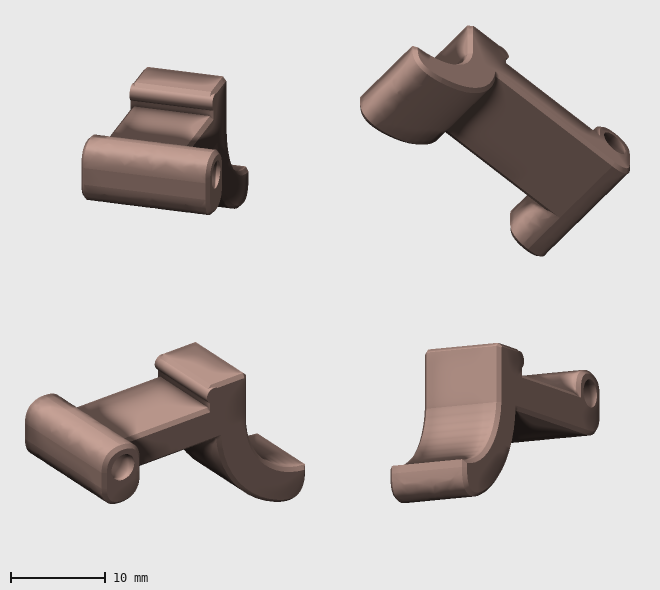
import cadquery as cq
import math

length = 30.65
body_width = 9.13
edge_chamfer = 0.4

barrel_width = 14.2
barrel_radius = 2.5
bore_diameter = 3.0
barrel_back = 2 * barrel_radius

arm_thickness = 4.0
arm_bottom = -4.4
arm_top = arm_bottom + arm_thickness
block_front = 17.83
block_back = 22.9
block_top = 2.2

bead_radius = 0.92
bead_inset = 0.5
bead_half_chord = math.sqrt(bead_radius**2 - bead_inset**2)
bead_y = block_front + bead_inset
bead_z = block_top - edge_chamfer - bead_half_chord

hook_center_y = 30.95
hook_center_z = -3.5
hook_inner_radius = 8.1
hook_outer_radius = 12.07
tip_blend_top = -12.4
tip_blend_front = 26.63

blend_fullness = 0.66


def hook_depth(radius, y):
    """Height Z of the lower half of a hook arc at a given Y."""
    return hook_center_z - math.sqrt(radius**2 - (y - hook_center_y) ** 2)


def hook_reach(radius, z):
    """Position Y of the front half of a hook arc at a given Z."""
    return hook_center_y - math.sqrt(radius**2 - (z - hook_center_z) ** 2)


def hook_diagonal(radius):
    """Point (y, z) on a hook arc, midway between straight forward and straight down."""
    offset = radius * math.sqrt(0.5)
    return (hook_center_y - offset, hook_center_z - offset)


def toward(start, corner):
    """Blend handle on the line from a blend end to the sharp corner."""
    return tuple(s + blend_fullness * (c - s) for s, c in zip(start, corner))


def blend_to(outline, start, corner, end):
    """Continue an outline from start to end with a smooth blend that rounds off the corner."""
    return outline.bezier([start, toward(start, corner), toward(end, corner), end])


def make_body():
    """Block, arm and hook as one profile in the YZ plane, with both sides chamfered."""
    tip_start = (length, tip_blend_top)
    tip_end = (tip_blend_front, hook_depth(hook_outer_radius, tip_blend_front))
    tangent_slope = (hook_center_y - tip_end[0]) / (tip_end[1] - hook_center_z)
    tip_corner = (length, tip_end[1] + tangent_slope * (length - tip_end[0]))

    outline = (
        cq.Workplane("YZ")
        .moveTo(barrel_radius, arm_top)
        .lineTo(block_front, arm_top)
        .lineTo(block_front, block_top - edge_chamfer)
        .lineTo(block_front + edge_chamfer, block_top)
        .lineTo(block_back - edge_chamfer, block_top)
        .lineTo(block_back, block_top - edge_chamfer)
        .lineTo(block_back, hook_depth(hook_inner_radius, block_back))
        .threePointArc(
            hook_diagonal(hook_inner_radius),
            (length, hook_depth(hook_inner_radius, length)),
        )
        .lineTo(*tip_start)
    )
    outline = blend_to(outline, tip_start, tip_corner, tip_end)
    body = (
        outline.threePointArc(
            hook_diagonal(hook_outer_radius),
            (hook_reach(hook_outer_radius, arm_bottom), arm_bottom),
        )
        .lineTo(barrel_radius, arm_bottom)
        .close()
        .extrude(body_width)
    )
    sides = body.faces("<X or >X")
    sharp_places = (barrel_radius, block_front)
    outline_edges = [edge for edge in sides.edges().vals() if not is_upright_at(edge, sharp_places)]
    return body.newObject(outline_edges).chamfer(edge_chamfer)


def is_upright_at(edge, places):
    """True for an edge that lies wholly at one of the given Y places."""
    tolerance = 0.003
    box = edge.BoundingBox()
    return any(max(abs(box.ymin - y), abs(box.ymax - y)) < tolerance for y in places)


def make_barrel():
    """Rounded bar across the front, flush with the arm underside and chamfered at both ends."""
    lower_round_z = arm_bottom + barrel_radius
    front_low = (0, lower_round_z)
    front_high = (0, 0)
    top = (barrel_radius, barrel_radius)
    back_high = (barrel_back, 0)
    back_low = (barrel_back, lower_round_z)
    underside = (barrel_radius, arm_bottom)

    outline = cq.Workplane("YZ").moveTo(*front_low).lineTo(*front_high)
    outline = blend_to(outline, front_high, (0, barrel_radius), top)
    outline = blend_to(outline, top, (barrel_back, barrel_radius), back_high)
    outline = outline.lineTo(*back_low)
    outline = blend_to(outline, back_low, (barrel_back, arm_bottom), underside)
    outline = blend_to(outline, underside, (0, arm_bottom), front_low)
    return outline.close().extrude(barrel_width).faces("<X or >X").chamfer(edge_chamfer)


def make_bead():
    return cq.Workplane("YZ").center(bead_y, bead_z).circle(bead_radius).extrude(body_width)


def make_bore():
    return cq.Workplane("YZ").center(barrel_radius, 0).circle(bore_diameter / 2).extrude(barrel_width)


result = make_body().union(make_barrel()).union(make_bead()).cut(make_bore())